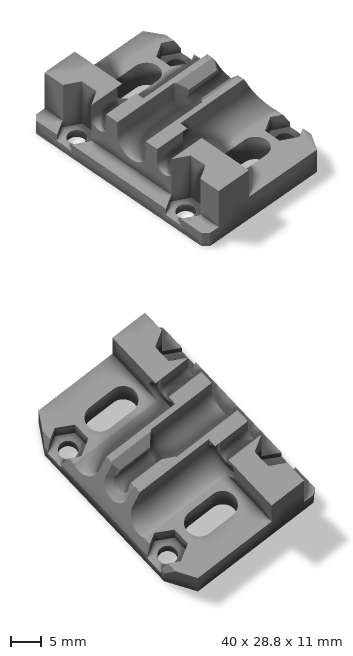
import cadquery as cq
import math

LENGTH, DEPTH, HEIGHT = 40.0, 28.8, 11.0
LEDGE_DEPTH, LEDGE_HEIGHT = 3.0, 2.9
FRONT_CHAMFER = 1.0
BACK_CORNER_X, BACK_CORNER_Y = 5.0, 3.0
BACK_SLOPE_RUN = 4.05
WING_START, WING_HEIGHT = 10.0, 5.0

AXIS_HEIGHT = 8.0
CHANNEL_SPACING = 15.0
BEARING_RADIUS = 3.3
BEARING_START = 9.0
ROD_RADIUS = 1.65
BORE_RADIUS = 1.65
MOUTH_RADIUS, MOUTH_LENGTH = 2.7, 1.1
MOUTH_SIDE = 4.0
THROAT_HALF_WIDTH = 1.45
FLARE_START, FLARE_HALF_WIDTH = 9.6, 3.0
WIDE_RADIUS, WIDE_END = 3.25, 16.05

BOLT_SPACING_X, BOLT_SPACING_Y = 25.0, 23.0
BOLT_DIAMETER = 3.35
NUT_FLATS = 5.8
FRONT_NUT_FLOOR, REAR_NUT_FLOOR = 1.5, 2.0
SLOT_LENGTH, SLOT_WIDTH, SLOT_CENTER_Y = 10.0, 5.0, 16.6

CUT_TOP = HEIGHT + 0.4


def box(x0, x1, y0, y1, z0, z1):
    return cq.Workplane("XY").box(x1 - x0, y1 - y0, z1 - z0, centered=False).translate((x0, y0, z0))


def cylinder_y(x, radius, y0, y1):
    """Cylinder along Y at the channel axis height."""
    plane = cq.Workplane("XZ", origin=(x, y0, AXIS_HEIGHT))
    return plane.circle(radius).extrude(y0 - y1)


def u_section(half_width, y):
    """Round-bottomed, open-topped channel outline in the plane at y."""
    top = CUT_TOP - AXIS_HEIGHT
    return (
        cq.Workplane("XZ", origin=(0, y, AXIS_HEIGHT))
        .moveTo(-half_width, top)
        .lineTo(-half_width, 0)
        .threePointArc((0, -half_width), (half_width, 0))
        .lineTo(half_width, top)
        .close()
    )


def u_channel(x, half_width, y0, y1):
    return u_section(half_width, y0).extrude(y0 - y1).translate((x, 0, 0))


def body():
    """Side profile with front ledge and sloped back, trimmed to the plan outline."""
    profile = (
        cq.Workplane("YZ", origin=(-LENGTH / 2, 0, 0))
        .polyline([
            (0, 0),
            (DEPTH, 0),
            (DEPTH, LEDGE_HEIGHT),
            (DEPTH - BACK_SLOPE_RUN, HEIGHT),
            (LEDGE_DEPTH, HEIGHT),
            (LEDGE_DEPTH, LEDGE_HEIGHT),
            (0, LEDGE_HEIGHT),
        ])
        .close()
        .extrude(LENGTH)
    )
    half = LENGTH / 2
    plan = (
        cq.Workplane("XY")
        .polyline([
            (-half + FRONT_CHAMFER, 0),
            (half - FRONT_CHAMFER, 0),
            (half, FRONT_CHAMFER),
            (half, DEPTH - BACK_CORNER_Y),
            (half - BACK_CORNER_X, DEPTH),
            (-half + BACK_CORNER_X, DEPTH),
            (-half, DEPTH - BACK_CORNER_Y),
            (-half, FRONT_CHAMFER),
        ])
        .close()
        .extrude(HEIGHT)
    )
    return profile.intersect(plan)


def rear_mouth():
    """Funnel from a round-bottomed opening on the back slope to the bore's section parallel to that slope."""
    slope_rise = HEIGHT - LEDGE_HEIGHT
    slope_length = math.hypot(BACK_SLOPE_RUN, slope_rise)
    mouth_y = DEPTH - BACK_SLOPE_RUN * (AXIS_HEIGHT - LEDGE_HEIGHT) / slope_rise

    def slope_plane(y):
        return cq.Workplane(cq.Plane((0, y, AXIS_HEIGHT), (-1, 0, 0), (0, slope_rise, BACK_SLOPE_RUN)))

    def outline(y, half_width, drop):
        """Half ellipse below the axis with straight sides running up the slope."""
        return (
            slope_plane(y)
            .moveTo(-half_width, MOUTH_SIDE)
            .lineTo(-half_width, 0)
            .ellipseArc(half_width, drop, 180, 360, startAtCurrent=True)
            .lineTo(half_width, MOUTH_SIDE)
            .close()
            .wire()
            .val()
        )

    outer = outline(mouth_y, MOUTH_RADIUS, MOUTH_RADIUS)
    bore_drop = BORE_RADIUS * slope_length / slope_rise
    inner = outline(mouth_y - MOUTH_LENGTH, BORE_RADIUS, bore_drop)
    return cq.Workplane(cq.Solid.makeLoft([outer, inner], True))


def cut_center_channel(part):
    """Round bore with a funnel mouth at the rear, a flared throat and a wide front channel."""
    part = part.cut(cylinder_y(0, BORE_RADIUS, 0, DEPTH))
    part = part.cut(rear_mouth())

    flare_slope = (FLARE_HALF_WIDTH - THROAT_HALF_WIDTH) / (HEIGHT - FLARE_START)
    flare_top = FLARE_HALF_WIDTH + flare_slope * (CUT_TOP - HEIGHT)
    throat = (
        cq.Workplane("XZ", origin=(0, WIDE_END, 0))
        .polyline([
            (-THROAT_HALF_WIDTH, AXIS_HEIGHT),
            (THROAT_HALF_WIDTH, AXIS_HEIGHT),
            (THROAT_HALF_WIDTH, FLARE_START),
            (flare_top, CUT_TOP),
            (-flare_top, CUT_TOP),
            (-THROAT_HALF_WIDTH, FLARE_START),
        ])
        .close()
        .extrude(WIDE_END - DEPTH)
    )
    taper_end = WIDE_END + WIDE_RADIUS - BORE_RADIUS
    taper = cq.Solid.makeLoft(
        [u_section(WIDE_RADIUS, WIDE_END).wire().val(), u_section(BORE_RADIUS, taper_end).wire().val()],
        True,
    )
    return part.cut(throat).cut(u_channel(0, WIDE_RADIUS, LEDGE_DEPTH, WIDE_END)).cut(cq.Workplane(taper))


def cut_side(part, side):
    """Rod slot, bearing channel and low wing on one side (-1 left, 1 right)."""
    x = side * CHANNEL_SPACING / 2
    inner = x - side * BEARING_RADIUS
    outer = side * LENGTH / 2
    wing = box(min(inner, outer), max(inner, outer), WING_START, DEPTH, AXIS_HEIGHT, CUT_TOP)
    wing = wing.union(box(min(x, outer), max(x, outer), WING_START, DEPTH, WING_HEIGHT, CUT_TOP))
    part = part.cut(wing)
    part = part.cut(cylinder_y(x, BEARING_RADIUS, BEARING_START, DEPTH))
    return part.cut(u_channel(x, ROD_RADIUS, LEDGE_DEPTH, WING_START))


def cut_fasteners(part):
    """Four bolt holes with hexagonal nut pockets, and two through slots."""
    bolts = cq.Workplane("XY", origin=(0, DEPTH / 2, 0)).rarray(BOLT_SPACING_X, BOLT_SPACING_Y, 2, 2)
    holes = bolts.circle(BOLT_DIAMETER / 2).extrude(HEIGHT)
    nut_corners = NUT_FLATS / math.cos(math.pi / 6)
    slots = (
        cq.Workplane("XY", origin=(0, SLOT_CENTER_Y, 0))
        .rarray(BOLT_SPACING_X, 0.4, 2, 1)
        .slot2D(SLOT_LENGTH, SLOT_WIDTH, 90)
        .extrude(HEIGHT)
    )
    for row, floor in ((-1, FRONT_NUT_FLOOR), (1, REAR_NUT_FLOOR)):
        nuts = (
            cq.Workplane("XY", origin=(0, DEPTH / 2 + row * BOLT_SPACING_Y / 2, floor))
            .rarray(BOLT_SPACING_X, 0.4, 2, 1)
            .polygon(6, nut_corners)
            .extrude(HEIGHT)
        )
        part = part.cut(nuts)
    return part.cut(holes).cut(slots)


result = cut_center_channel(body())
for side in (-1, 1):
    result = cut_side(result, side)
result = cut_fasteners(result)